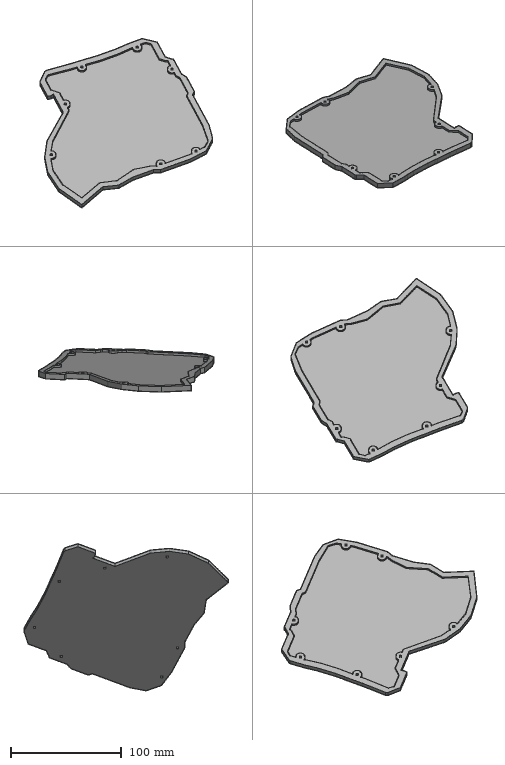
import cadquery as cq

width = 149.6
length = 157.5
thickness = 5.0
recess_depth = 2.0
floor_thickness = thickness - recess_depth

screw_hole_diameter = 2.0
screw_boss_diameter = 8.5
left_screw_x = 9.5
right_screw_x = 136.7

top_shoulder_y = 154.7
top_left_shoulder_y = 148.8
notch_x = 27.0
notch_top_y = 39.5
heel_y = 33.7

outer_corners = [
    (2.5, 137.6),
    (2.8, 138.3),
    (11.7, top_left_shoulder_y),
    (29.6, top_left_shoulder_y),
    (34.2, 153.4),
    (34.8, top_shoulder_y),
    (52.6, top_shoulder_y),
    (58.3, length),
    (75.3, length),
    (78.0, top_shoulder_y),
    (115.3, top_shoulder_y),
    (130.0, 151.7),
    (140.2, 140.8),
    (142.7, 123.8),
    (142.7, 94.3),
    (140.2, 88.8),
    (140.2, 68.2),
    (143.2, 52.9),
    (139.0, 38.9),
    (width, 13.5),
    (124.7, 1.7),
    (104.0, 0.0),
    (87.0, 4.4),
    (72.5, 12.9),
    (71.3, 14.0),
    (48.7, notch_top_y),
    (notch_x, notch_top_y),
    (27.5, 36.9),
    (notch_x, heel_y),
    (9.3, heel_y),
    (0.6, 42.4),
    (0.0, 44.7),
    (1.4, 60.5),
    (2.0, 68.0),
    (2.8, 82.5),
    (3.1, 85.4),
    (3.6, 93.5),
    (3.6, 111.5),
    (3.0, 119.7),
    (2.7, 123.2),
]

recess_corners = [
    (7.7, 139.0),
    (11.3, 143.0),
    (29.3, 143.0),
    (33.2, 147.0),
    (34.3, 149.3),
    (52.6, 149.3),
    (56.4, 151.7),
    (74.2, 151.7),
    (76.7, 149.3),
    (112.3, 149.3),
    (130.5, 147.0),
    (135.6, 141.0),
    (138.0, 124.5),
    (138.0, 93.9),
    (135.3, 87.4),
    (132.6, 72.3),
    (138.0, 53.5),
    (133.9, 38.1),
    (142.7, 16.7),
    (122.8, 7.0),
    (104.1, 5.2),
    (91.3, 8.7),
    (83.3, 12.3),
    (74.2, 18.0),
    (48.7, 45.4),
    (27.9, 45.4),
    (21.7, 39.5),
    (8.5, 39.5),
    (5.4, 43.5),
    (5.4, 45.5),
    (7.4, 64.7),
    (8.2, 78.1),
    (9.5, 93.9),
    (9.5, 110.7),
    (8.2, 125.5),
    (7.7, 130.0),
]

screw_centres = [
    (44.5, 149.0),
    (left_screw_x, 130.0),
    (left_screw_x, 75.3),
    (right_screw_x, 132.1),
    (right_screw_x, 97.3),
    (41.1, 45.0),
    (87.5, 10.7),
]


def prism(corners, bottom, height):
    return (
        cq.Workplane("XY")
        .workplane(offset=bottom)
        .polyline(corners)
        .close()
        .extrude(height)
    )


def cylinders(diameter, bottom, height):
    return (
        cq.Workplane("XY")
        .workplane(offset=bottom)
        .pushPoints(screw_centres)
        .circle(diameter / 2)
        .extrude(height)
    )


plate = prism(outer_corners, 0, thickness)
recess = prism(recess_corners, floor_thickness, recess_depth)

bosses = cylinders(screw_boss_diameter, floor_thickness, recess_depth)
screw_holes = cylinders(screw_hole_diameter, 0, thickness)

result = plate.cut(recess.cut(bosses)).cut(screw_holes)